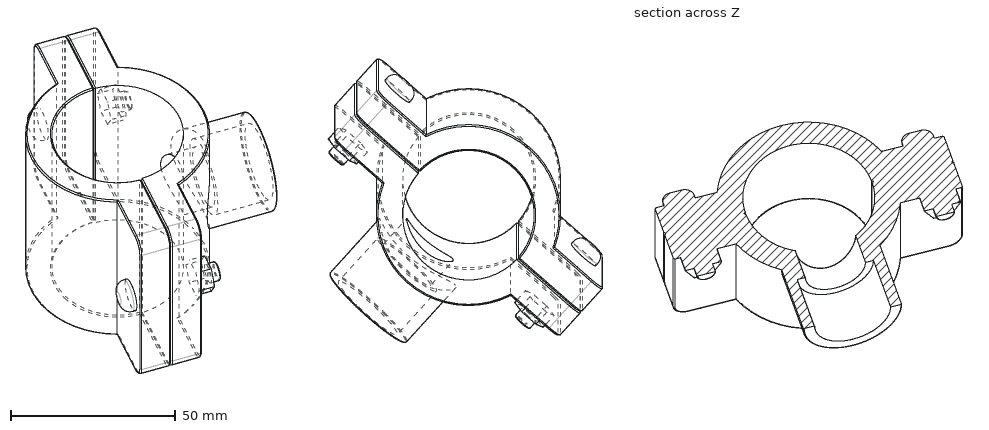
import cadquery as cq
import math

length = 92.0
height = 60.0
bore_diameter = 40.0
shell_diameter = 56.0
flange_thickness = 10.0
corner_radius = 4.5
edge_chamfer = 0.5

branch_diameter = 31.4
branch_reach = 46.0
branch_chamfer = 0.3
socket_diameter = 24.1
port_diameter = 19.0
socket_floor = shell_diameter / 2

bolt_offset = 38.0
bolt_diameter = 6.0
bolt_tail = 3.0
bolt_end_chamfer = 0.3
head_diameter = 10.0
head_height = 4.0
head_rounding = 3.0
nut_across_flats = 10.0
nut_thickness = 5.0


def y_plane(position):
    """Plane across the Y axis, facing +Y."""
    return cq.Plane(origin=(0, position, 0), xDir=(1, 0, 0), normal=(0, 1, 0))


def y_cylinder(diameter, start, end):
    """Cylinder along Y, centred on X = 0 and Z = 0."""
    return cq.Workplane(y_plane(start)).circle(diameter / 2).extrude(end - start)


def z_cylinder(diameter):
    """Vertical cylinder over the full height of the clamp."""
    return cq.Workplane("XY").circle(diameter / 2).extrude(height / 2, both=True)


def clamp_half(bore):
    """Half shell with two flanges on the -Y side of the joint, opened by the given bore."""
    flanges = (
        cq.Workplane("XY")
        .box(length, flange_thickness, height, centered=(True, False, True))
        .translate((0, -flange_thickness, 0))
        .edges("|Y")
        .fillet(corner_radius)
        .faces("<Y")
        .chamfer(edge_chamfer)
    )
    front_side = cq.Workplane("XY").box(length, length, height).translate((0, -length / 2, 0))
    shell = z_cylinder(shell_diameter).faces("|Z").edges().chamfer(edge_chamfer).intersect(front_side)
    half = flanges.union(shell).cut(bore)
    return half.faces(">Y").chamfer(edge_chamfer)


def flared_bore():
    """Clamp bore with a chamfered rim at both ends."""
    rim_radius = bore_diameter / 2 + edge_chamfer
    bore = z_cylinder(bore_diameter)
    for end in (-1, 1):
        rim = (
            cq.Workplane("XY", origin=(0, 0, end * height / 2))
            .circle(rim_radius)
            .extrude(-end * edge_chamfer, taper=45)
        )
        bore = bore.union(rim)
    return bore


def branch_pipe():
    """Outside of the branch pipe, trimmed to the clamp bore."""
    pipe = y_cylinder(branch_diameter, 0, branch_reach)
    pipe = pipe.faces(">Y").edges().chamfer(branch_chamfer)
    return pipe.cut(z_cylinder(bore_diameter))


def bolt_with_nut():
    """Round-head bolt through both flanges, with a hexagon nut on the +Y side."""
    nut_end = flange_thickness + nut_thickness
    shank = y_cylinder(bolt_diameter, -flange_thickness, nut_end + bolt_tail)
    shank = shank.faces(">Y").edges().chamfer(bolt_end_chamfer)
    head = y_cylinder(head_diameter, -flange_thickness - head_height, -flange_thickness)
    head = head.faces("<Y").edges().fillet(head_rounding)
    nut_across_corners = nut_across_flats / math.cos(math.pi / 6)
    nut = cq.Workplane(y_plane(flange_thickness)).polygon(6, nut_across_corners).extrude(nut_thickness)
    return shank.union(head).union(nut)


front_half = clamp_half(flared_bore())
back_half = clamp_half(z_cylinder(bore_diameter)).mirror("XZ")
result = front_half.union(back_half).union(branch_pipe())

result = result.cut(y_cylinder(port_diameter, 0, branch_reach))
result = result.cut(y_cylinder(socket_diameter, socket_floor, branch_reach))

bolt = bolt_with_nut()
for side in (-1, 1):
    result = result.union(bolt.translate((side * bolt_offset, 0, 0)))